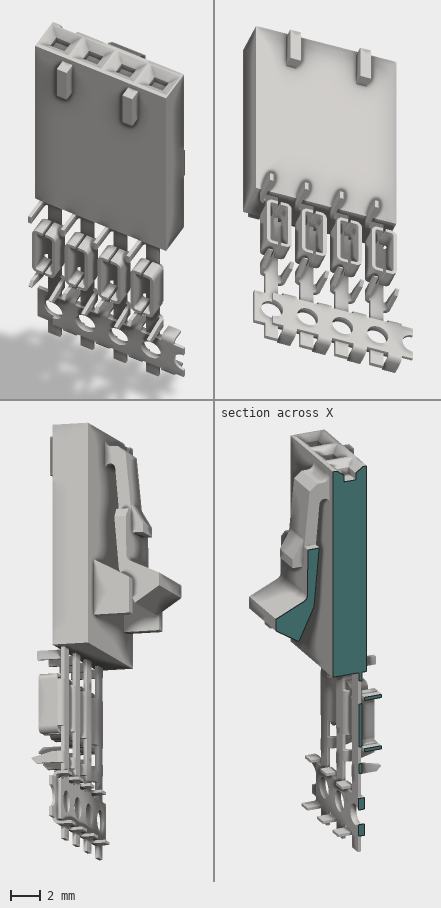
import cadquery as cq
import math


overall_height = 28.45
circuits = 4
housing_width = 10.15
housing_height = 15.2
pitch = housing_width / circuits
housing_depth = pitch

funnel_width, funnel_depth = 2.3, 1.95
socket_width, socket_depth = 1.1, 0.85
funnel_height = 0.4
socket_height = 0.48

key_width, key_reach = 0.77, 0.85
key_bottom, key_top = 12.15, 14.8

mark_width, mark_height, mark_depth = 1.28, 1.1, 0.2

guard_width = 0.77
guard_offset = 3.39
guard_face = 5.05
guard_bottom, guard_shoulder, guard_top = 2.15, 4.65, 6.0
guard_round = 0.1

arm_width = pitch
head_width = 5.0
shoulder_top = 9.75
shoulder_chamfer = 0.65
root_top = 14.22
root_fillet = 0.48
arm_gap_round = 0.37
arm_gap_top = 13.03
neck_fillet = 0.43
catch_width = 2.1
catch_face = 5.18
catch_bottom, catch_shoulder, catch_top = 8.22, 8.85, 10.19
catch_fillet = 0.28
catch_embed = 0.09
arm_knee = [(3.45, root_top), (4.0, 13.77)]
arm_outer_kink = (4.4, shoulder_top)
arm_neck = (4.47, 6.12)
arm_inner_end = (3.93, 5.45)
head_tip, head_tip_bottom, head_tip_top = 6.8, 4.18, 5.05
head_heel = 3.07

metal = 0.25
strip_width = 0.95
strip_back = 0.63
strip_bottom = housing_height - overall_height
bend_radius = 0.43

wing_height = 0.63
wing_tip = -1.68

box_top, box_bottom = -1.85, -5.92
box_front = -1.1
box_slit = 0.2

prong_axis = -7.37
prong_rise = 0.68
prong_overlap = 0.09
prong_tip = -1.6
prong_tip_chamfer = 0.3
prong_tip_flat = 0.28
prong_root = -0.1

carrier_metal = 0.2
carrier_top, carrier_bottom = -9.25, -12.05
carrier_hole = 1.5
carrier_tab_width = 0.97
carrier_bend = 0.43
upper_tab_end, lower_tab_end = 1.25, 1.5

strip_front = strip_back - metal
bend_end = strip_back - bend_radius
bend_inner = bend_radius - metal
side_face = strip_width / 2 + bend_radius
carrier_back = strip_front
carrier_front = carrier_back - carrier_metal
hole_level = (carrier_top + carrier_bottom) / 2
cell_centres = [(i - (circuits - 1) / 2) * pitch for i in range(circuits)]
diagonal = math.sqrt(0.5)


def block(x0, x1, y0, y1, z0, z1):
    return cq.Workplane("XY").box(x1 - x0, y1 - y0, z1 - z0, centered=False).translate((x0, y0, z0))


def side_profile(points, x0, x1):
    """Extrude a closed outline of (y, z) points from x0 to x1."""
    return cq.Workplane("YZ").polyline(points).close().extrude(x1 - x0).translate((x0, 0, 0))


def make_housing():
    body = block(-housing_width / 2, housing_width / 2, 0, housing_depth, 0, housing_height)
    for x in cell_centres:
        socket = (
            cq.Workplane("XY", origin=(x, housing_depth / 2, housing_height))
            .rect(funnel_width, funnel_depth)
            .workplane(offset=-funnel_height)
            .rect(socket_width, socket_depth)
            .loft(ruled=True)
            .faces("<Z")
            .workplane()
            .rect(socket_width, socket_depth)
            .extrude(socket_height)
        )
        body = body.cut(socket)
    for x in (-pitch, pitch):
        body = body.union(block(x - key_width / 2, x + key_width / 2, -key_reach, 0, key_bottom, key_top))
    return body.cut(make_first_circuit_mark())


def make_first_circuit_mark():
    """Triangular recess in the back face, open at the top edge above the first circuit."""
    return (
        cq.Workplane("XZ", origin=(cell_centres[0], housing_depth, housing_height))
        .polyline([(-mark_width / 2, 0), (mark_width / 2, 0), (0, -mark_height)])
        .close()
        .extrude(mark_depth)
    )


def make_guard(x):
    outline = [
        (housing_depth, guard_bottom),
        (guard_face, guard_bottom),
        (guard_face, guard_shoulder),
        (housing_depth, guard_top),
    ]
    guard = side_profile(outline, x - guard_width / 2, x + guard_width / 2)
    return guard.faces(">Y").edges("|X").fillet(guard_round)


def make_latch():
    gap_side = housing_depth + 2 * arm_gap_round
    gap_spring = arm_gap_top - arm_gap_round
    fillet_end = (housing_depth + root_fillet, root_top)
    fillet_middle = (
        housing_depth + root_fillet * (1 - diagonal),
        root_top + root_fillet * (1 - diagonal),
    )
    latch = (
        cq.Workplane("YZ")
        .moveTo(housing_depth, root_top + root_fillet)
        .threePointArc(fillet_middle, fillet_end)
        .lineTo(*arm_knee[0])
        .lineTo(*arm_knee[1])
        .lineTo(*arm_outer_kink)
        .lineTo(*arm_neck)
        .lineTo(head_tip, head_tip_top)
        .lineTo(head_tip, head_tip_bottom)
        .lineTo(guard_face, head_heel)
        .lineTo(*arm_inner_end)
        .lineTo(gap_side, gap_spring)
        .threePointArc((housing_depth + arm_gap_round, arm_gap_top), (housing_depth, gap_spring))
        .close()
        .extrude(head_width / 2, both=True)
    )
    latch = latch.edges(cq.NearestToPointSelector((0, *arm_neck))).fillet(neck_fillet)

    right_half = [
        (head_width / 2, 0),
        (head_width / 2, shoulder_top - shoulder_chamfer),
        (head_width / 2 - shoulder_chamfer, shoulder_top),
        (arm_width / 2, shoulder_top),
        (arm_width / 2, housing_height),
    ]
    left_half = [(-x, z) for x, z in reversed(right_half)]
    front_outline = cq.Workplane("XZ").polyline(right_half + left_half).close().extrude(-head_tip)
    latch = latch.intersect(front_outline)

    (upper_y, upper_z), (lower_y, lower_z) = arm_knee[1], arm_outer_kink
    arm_slope = (lower_y - upper_y) / (upper_z - lower_z)
    catch_start = (upper_y + arm_slope * (upper_z - catch_top), catch_top)
    catch_root = catch_start[0] - catch_embed
    catch = [
        (catch_root, catch_top),
        catch_start,
        (catch_face, catch_shoulder),
        (catch_face, catch_bottom),
        (catch_root, catch_bottom),
    ]
    latch = latch.union(side_profile(catch, -catch_width / 2, catch_width / 2))
    return latch.edges(cq.NearestToPointSelector((0, *catch_start))).fillet(catch_fillet)


def make_bend(z0, z1):
    """Quarter bend that turns the right edge of a strip toward -Y."""
    centre_x = strip_width / 2
    return (
        cq.Workplane("XY", origin=(0, 0, z0))
        .moveTo(centre_x, strip_back)
        .threePointArc(
            (centre_x + bend_radius * diagonal, bend_end + bend_radius * diagonal), (side_face, bend_end)
        )
        .lineTo(side_face - metal, bend_end)
        .threePointArc(
            (centre_x + bend_inner * diagonal, bend_end + bend_inner * diagonal), (centre_x, strip_front)
        )
        .close()
        .extrude(z1 - z0)
    )


def make_wing():
    panel = block(side_face - metal, side_face, wing_tip, bend_end, -wing_height, 0)
    return panel.union(make_bend(-wing_height, 0)).mirror("YZ")


def make_prong():
    """Right-hand pointed prong, which hangs below the axis of the pair."""
    top = prong_axis + prong_overlap
    bottom = prong_axis - prong_rise
    outline = [
        (bend_end, top),
        (prong_root, top),
        (prong_tip, prong_axis - prong_tip_flat),
        (prong_tip, bottom + prong_tip_chamfer),
        (prong_tip + prong_tip_chamfer, bottom),
        (bend_end, bottom),
    ]
    return side_profile(outline, side_face - metal, side_face).union(make_bend(bottom, top))


def make_box_half():
    """Right half of the split box: a side wall with flanges turned in at both ends."""
    depth = bend_end - box_front
    centre_z = (box_top + box_bottom) / 2
    height = box_top - box_bottom

    def round_bar(inset, radius):
        bar = cq.Workplane("XY").box(2 * (side_face - inset), depth, height - 2 * inset)
        return bar.edges("|Y").fillet(radius)

    tube = round_bar(0, bend_radius).cut(round_bar(metal, bend_inner))
    tube = tube.translate((0, (bend_end + box_front) / 2, centre_z))
    half = tube.intersect(block(box_slit / 2, side_face, box_front, bend_end, box_bottom, box_top))
    return half.union(make_bend(box_bottom + bend_radius, box_top - bend_radius))


def make_terminal():
    strip = block(-strip_width / 2, strip_width / 2, strip_front, strip_back, strip_bottom, 0)
    box_half = make_box_half()
    right_prong = make_prong()
    left_prong = right_prong.rotate((0, 0, prong_axis), (0, 1, prong_axis), 180)
    terminal = strip.union(make_wing())
    for piece in (box_half, box_half.mirror("YZ"), right_prong, left_prong):
        terminal = terminal.union(piece)
    return terminal


def make_carrier_tab(x, edge, direction, end):
    """Tab bent back to +Y at a carrier edge; direction is +1 at the top edge and -1 at the bottom."""
    inner = carrier_bend - carrier_metal
    centre_y = carrier_front + carrier_bend
    outer_z = edge + direction * carrier_bend
    inner_z = edge + direction * inner
    return (
        cq.Workplane("YZ", origin=(x, 0, 0))
        .moveTo(carrier_front, edge)
        .threePointArc(
            (centre_y - carrier_bend * diagonal, edge + direction * carrier_bend * diagonal),
            (centre_y, outer_z),
        )
        .lineTo(end, outer_z)
        .lineTo(end, inner_z)
        .lineTo(centre_y, inner_z)
        .threePointArc(
            (centre_y - inner * diagonal, edge + direction * inner * diagonal), (carrier_back, edge)
        )
        .close()
        .extrude(carrier_tab_width / 2, both=True)
    )


def make_carrier():
    start = cell_centres[0]
    end = start + circuits * pitch
    carrier = block(start, end, carrier_front, carrier_back, carrier_bottom, carrier_top)
    back_plate = block(
        -housing_width / 2, housing_width / 2, strip_front, strip_back, carrier_bottom, carrier_top
    )
    carrier = carrier.union(back_plate)
    for x in cell_centres:
        tab_x = x + pitch / 2
        carrier = carrier.union(make_carrier_tab(tab_x, carrier_top, 1, upper_tab_end))
        carrier = carrier.union(make_carrier_tab(tab_x, carrier_bottom, -1, lower_tab_end))
    return carrier


def make_carrier_holes():
    centres = [(cell_centres[0] + i * pitch, hole_level) for i in range(circuits + 1)]
    return cq.Workplane("XZ").pushPoints(centres).circle(carrier_hole / 2).extrude(-housing_depth)


contacts = make_carrier()
terminal = make_terminal()
for x in cell_centres:
    contacts = contacts.union(terminal.translate((x, 0, 0)))
contacts = contacts.cut(make_carrier_holes())

result = make_housing().union(make_latch()).union(contacts)
for x in (-guard_offset, guard_offset):
    result = result.union(make_guard(x))